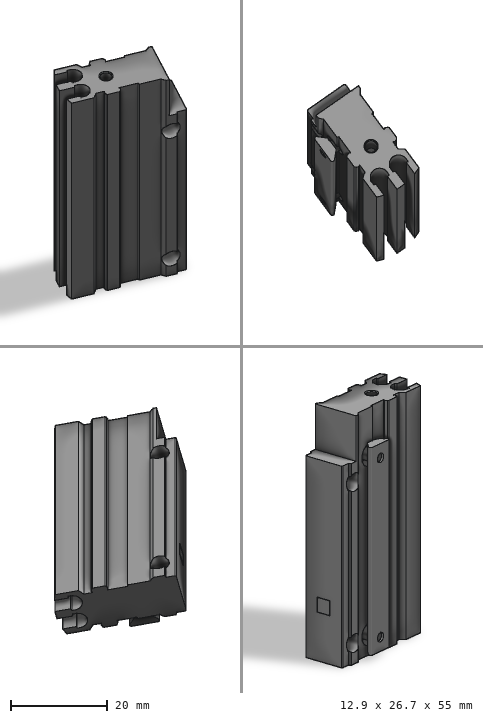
import cadquery as cq


length = 55.0
overall_width = 12.9
half_width = 5.4
waist_half = 4.25
seat_half = 4.6
back_half = 4.85
back_y = 26.55
back_chamfer = 0.2
back_shelf_y = 24.4
shelf_chamfer = 0.2
taper_y = (21.85, 20.95)
seat_step_y = (16.2, 16.1)
shoulder_y = (8.5, 12.1)
shoulder_chamfer_x = 0.2
shoulder_chamfer_y = 0.3
shoulder_slope_x = 0.55
shoulder_slope_y = 0.2
shoulder_undercut = 0.15
leg_flare_y = (6.9, 6.0)
leg_tip_y = (1.1, 0.55)
leg_inner = 3.9
rib_half = 1.0

channel_x = 2.4
channel_y = 4.2
channel_radius = 1.9
channel_lip_y = 3.5
rib_slope = 0.2

notch_y = 22.55
notch_z = 44.9
mount_diameter = 4.0
mount_y = 23.1
mount_z = (4.6, 40.4)
end_hole_diameter = 2.5
end_hole_mouth = 2.9
end_hole_depth = 6.6
end_hole_y = 10.55

bar_y = 17.15
bar_z = (1.45, 47.7)
bar_outer_x = half_width - overall_width
bar_inner_x = -5.15
bar_root_width = 2.85
bar_edge_fillet = 0.45
pin_z = (4.6, 44.5)
pin_diameter = 2.75
pin_tip_diameter = 2.05
pin_tip_recess = 0.55
pin_hole_diameter = 5.0
pin_hole_depth = 2.5
pin_end_x = pin_hole_depth - seat_half

label_size = 3.3
label_thickness = 0.1
label_z = 12.55


def x_cylinder(diameter, x_start, x_end, y, z):
    """Cylinder along X between two X positions."""
    plane = cq.Workplane("YZ", origin=(x_start, y, z))
    return plane.circle(diameter / 2).extrude(x_end - x_start)


def make_profile():
    """Solid with the constant cross-section of the housing."""
    seat_top, seat_bottom = seat_step_y
    crest_bottom, crest_top = shoulder_y
    chamfer_x = half_width - shoulder_chamfer_x
    crest_x = chamfer_x - shoulder_slope_x
    end_height = shoulder_slope_y + shoulder_chamfer_y
    channel_outer = channel_x + channel_radius
    channel_inner = channel_x - channel_radius
    half = (
        cq.Workplane("XY")
        .moveTo(0, back_y)
        .lineTo(back_half - back_chamfer, back_y)
        .lineTo(back_half, back_y - back_chamfer)
        .lineTo(back_half, back_shelf_y)
        .lineTo(half_width - shelf_chamfer, back_shelf_y)
        .lineTo(half_width, back_shelf_y - shelf_chamfer)
        .lineTo(half_width, taper_y[0])
        .lineTo(seat_half, taper_y[1])
        .lineTo(seat_half, seat_top)
        .lineTo(waist_half, seat_bottom)
        .lineTo(waist_half, crest_top - shoulder_undercut)
        .lineTo(crest_x, crest_top)
        .lineTo(chamfer_x, crest_top - shoulder_slope_y)
        .lineTo(half_width, crest_top - end_height)
        .lineTo(half_width, crest_bottom + end_height)
        .lineTo(chamfer_x, crest_bottom + shoulder_slope_y)
        .lineTo(crest_x, crest_bottom)
        .lineTo(waist_half, crest_bottom + shoulder_undercut)
        .lineTo(waist_half, leg_flare_y[0])
        .lineTo(half_width, leg_flare_y[1])
        .lineTo(half_width, leg_tip_y[0])
        .lineTo(leg_inner, leg_tip_y[1])
        .lineTo(leg_inner, channel_lip_y)
        .lineTo(channel_outer, channel_lip_y)
        .lineTo(channel_outer, channel_y)
        .threePointArc((channel_x, channel_y + channel_radius), (channel_inner, channel_y))
        .lineTo(channel_inner, channel_lip_y)
        .lineTo(rib_half, channel_lip_y - rib_slope)
        .lineTo(rib_half, 0)
        .lineTo(0, 0)
        .close()
        .extrude(length)
    )
    return half.union(half.mirror("YZ")).clean()


def make_notch():
    """Block that is removed from the back block at the top."""
    corner = cq.Workplane("XY", origin=(0, notch_y, notch_z))
    size = (2 * half_width, back_y - notch_y, length - notch_z)
    return corner.box(*size, centered=(True, False, False))


def make_end_hole():
    """Blind hole in the top face with a chamfered mouth."""
    chamfer = (end_hole_mouth - end_hole_diameter) / 2
    top = cq.Workplane("XY", origin=(0, end_hole_y, length))
    bore = top.circle(end_hole_diameter / 2).extrude(-end_hole_depth)
    mouth = top.circle(end_hole_mouth / 2).workplane(offset=-chamfer).circle(end_hole_diameter / 2).loft()
    return bore.union(mouth)


def make_housing():
    body = make_profile().cut(make_notch()).cut(make_end_hole())
    for z in mount_z:
        body = body.cut(x_cylinder(mount_diameter, -half_width, half_width, mount_y, z))
    for z in pin_z:
        body = body.cut(x_cylinder(pin_hole_diameter, -half_width, pin_end_x, bar_y, z))
    return body


def make_pin(z):
    """Pin with a thinner tip that sits in the bar."""
    tip = x_cylinder(pin_tip_diameter, bar_outer_x + pin_tip_recess, bar_inner_x, bar_y, z)
    return x_cylinder(pin_diameter, bar_inner_x, pin_end_x, bar_y, z).union(tip)


def make_bar():
    """Dovetail bar with a hole for each pin tip."""
    root = bar_root_width / 2
    outer = root + bar_inner_x - bar_outer_x
    bar = (
        cq.Workplane("XY", origin=(0, bar_y, bar_z[0]))
        .moveTo(bar_outer_x, outer)
        .lineTo(bar_inner_x, root)
        .lineTo(bar_inner_x, -root)
        .lineTo(bar_outer_x, -outer)
        .close()
        .extrude(bar_z[1] - bar_z[0])
    )
    bar = bar.edges("|Z and <X").fillet(bar_edge_fillet)
    for z in pin_z:
        bar = bar.cut(x_cylinder(pin_tip_diameter, bar_outer_x, bar_inner_x, bar_y, z))
    return bar


def make_label():
    """Raised plate on the back face."""
    plate = cq.Workplane("XY").box(label_size, label_thickness, label_size)
    return plate.translate((0, back_y + label_thickness / 2, label_z))


housing = make_housing()
bar = make_bar()
pins = [make_pin(z) for z in pin_z]
label = make_label()

result = cq.Compound.makeCompound(
    [housing.val(), bar.val(), *[pin.val() for pin in pins], label.val()]
)